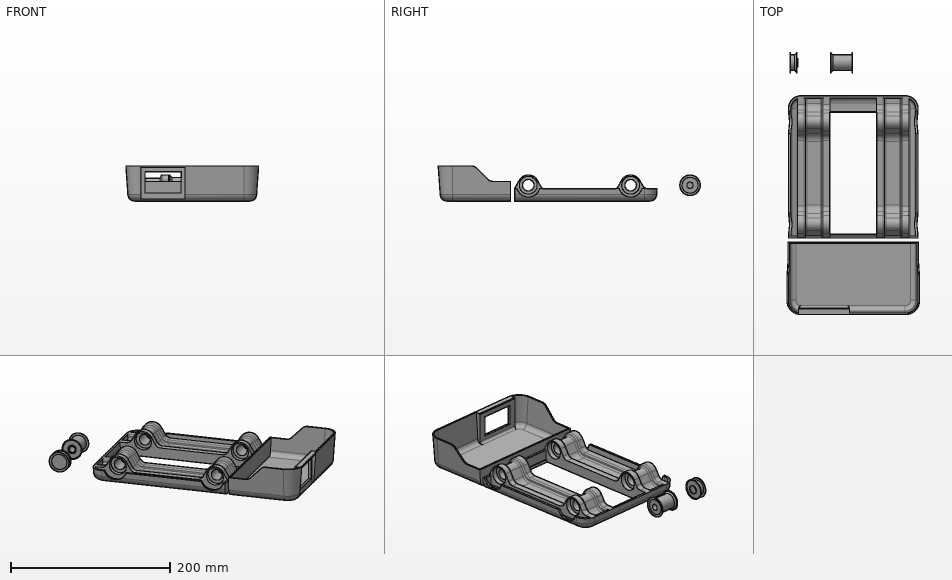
import cadquery as cq
import math

DRAFT = 4.0
BASE_WIDTH = 160.5
BASE_CORNER = 15.0
BOTTOM_FILLET = 9.0

FRAME_REAR = 109.3
FRAME_FRONT = -68.5
FRAME_HEIGHT = 15.8
FRAME_WALL = 3.0
OPENING_REAR = 89.2
OPENING_FRONT = -63.2
OPENING_SLOPE = 1.0

BEAM_INNER = 29.3
BEAM_OUTER = 69.8
FLANGE_WIDTH = 8.2
SPAN_DECK = 13.8
HUB_GROOVE_DEPTH = 4.0
DECK_GROOVE_DEPTH = 6.0
GROOVE_FILLET = 1.9
BEAM_OVERRUN = 16.5
AXIS_HEIGHT = 20.0
AXIS_POSITIONS = (77.0, -51.5)
HUB_DIAMETER = 26.0
HUB_SLOPE = 60.0
HUB_FOOT_FILLET = 8.0
BORE_DIAMETER = 14.0
BEARING_SEAT_DIAMETER = 22.5
BEARING_SEAT_DEPTH = 7.0
CLEARANCE_DIAMETER = 29.5

TRAY_FRONT = -164.5
TRAY_REAR = -73.5
TRAY_HEIGHT = 44.5
TRAY_REAR_HEIGHT = 25.0
TRAY_WALL = 2.0
RIM_STEP_MIDDLE = -109.3
RIM_STEP_FILLET = 10.0
RIM_STEP_ANGLE = 45.0

DISPLAY_CENTER = -36.5
SEAT_WIDTH = 55.3
SEAT_BOTTOM = 2.3
SEAT_TOP = 42.5
SEAT_DEPTH = 5.0
WINDOW_WIDTH = 45.5
WINDOW_BOTTOM = 10.5
WINDOW_TOP = 37.0
PAD_WIDTH = 64.0
PAD_DEPTH = 8.2
PAD_CHAMFER = 1.0
PAD_FOOT_FILLET = 3.3
PAD_FOOT_MITRE = 2.0

ROLLER_Y = 151.55
DISC_DIAMETER = 26.0
DISC_THICKNESS = 1.0
CORE_DIAMETER = 20.0
CONE_DIAMETER = 24.0
CONE_LENGTH = 2.0
SPOOL_LEFT = -28.5
SPOOL_LENGTH = 28.0
SPOOL_HOLE_DIAMETER = 8.0
SPIGOT_DIAMETER = 11.0
SPIGOT_LENGTH = 1.0
CAP_LEFT = -79.5
CAP_LENGTH = 9.2

LEAN = math.tan(math.radians(DRAFT))
TRAY_BASE_FRONT = TRAY_FRONT + TRAY_HEIGHT * LEAN
BEAM_REAR = FRAME_REAR - FRAME_WALL / 2
SLACK = 0.03
FAR = 329.0


def box(x0, x1, y0, y1, z0, z1):
    """Axis-aligned box given by its limits."""
    return cq.Workplane("XY").box(x1 - x0, y1 - y0, z1 - z0, centered=False).translate((x0, y0, z0))


def drafted_block(y_low, y_high, rounded_end, z0, z1, inset, fillet):
    """Block whose walls lean outwards, with rounded corners at one Y end and a filleted bottom.

    y_low and y_high are limits at the base plane; the square end is cut flat there.
    inset moves the leaning walls inwards, for the cavity.
    """
    growth = z0 * LEAN - inset
    width = BASE_WIDTH + 2 * growth
    spare = 2 * BASE_CORNER + 2 * BOTTOM_FILLET
    low = y_low - (growth if rounded_end == "low" else spare)
    high = y_high + (growth if rounded_end == "high" else spare)
    block = (
        cq.Workplane("XY", origin=(0, (low + high) / 2, z0))
        .sketch()
        .rect(width, high - low)
        .vertices()
        .fillet(BASE_CORNER + growth)
        .finalize()
        .extrude(z1 - z0, taper=-DRAFT)
        .faces("<Z")
        .edges()
        .fillet(fillet)
    )
    if rounded_end == "low":
        return block.intersect(box(-FAR, FAR, -FAR, y_high, -FAR, FAR))
    return block.intersect(box(-FAR, FAR, y_low, FAR, -FAR, FAR))


def x_cylinder(diameter, x0, x1, y, z):
    """Cylinder along X."""
    return cq.Workplane("YZ", origin=(x0, y, z)).circle(diameter / 2).extrude(x1 - x0)


def hub_points(axis_y, side, deck, hub_offset):
    """Points of one half of a hub outline, from the foot up to where the crown arc begins.

    The flank is straight and the foot is a concave arc that runs out on the deck.
    """
    slope = math.radians(HUB_SLOPE)
    crown = HUB_DIAMETER / 2 - hub_offset
    foot = HUB_FOOT_FILLET + hub_offset
    crown_half = crown * math.sin(slope)
    crown_z = AXIS_HEIGHT + crown * math.cos(slope)
    flank_z = deck + foot * (1 - math.cos(slope))
    flank_half = crown_half + (crown_z - flank_z) / math.tan(slope)
    foot_half = flank_half + foot * math.sin(slope)
    middle_half = foot_half - foot * math.sin(slope / 2)
    middle_z = deck + foot * (1 - math.cos(slope / 2))
    return (
        (axis_y + side * foot_half, deck),
        (axis_y + side * middle_half, middle_z),
        (axis_y + side * flank_half, flank_z),
        (axis_y + side * crown_half, crown_z),
    )


def beam_slab(x0, x1, hub_offset, deck_offset):
    """Slab with the outline of the beam and its hubs between two X planes.

    hub_offset and deck_offset lower the hubs and the deck from the flange outline.
    """
    y_front = FRAME_FRONT - BEAM_OVERRUN
    rear_deck = FRAME_HEIGHT - deck_offset
    span_deck = SPAN_DECK - deck_offset
    outline = cq.Workplane("YZ", origin=(x0, 0, 0)).moveTo(BEAM_REAR, 0).lineTo(BEAM_REAR, rear_deck)
    rear_side_deck = rear_deck
    for axis_y in AXIS_POSITIONS:
        top = (axis_y, AXIS_HEIGHT + HUB_DIAMETER / 2 - hub_offset)
        foot, middle, flank, crown = hub_points(axis_y, 1, rear_side_deck, hub_offset)
        outline = outline.lineTo(*foot).threePointArc(middle, flank).lineTo(*crown)
        foot, middle, flank, crown = hub_points(axis_y, -1, span_deck, hub_offset)
        outline = outline.threePointArc(top, crown).lineTo(*flank).threePointArc(middle, foot)
        rear_side_deck = span_deck
    return outline.lineTo(y_front, span_deck).lineTo(y_front, 0).close().extrude(x1 - x0)


def step_edges(x):
    """Selector of the upper and lower edges of the groove side in the plane at x."""
    low = (x - SLACK, FRAME_FRONT - BEAM_OVERRUN + SLACK, SLACK)
    high = (x + SLACK, BEAM_REAR - SLACK, FAR)
    return cq.selectors.BoxSelector(low, high)


def bearing_beam():
    """Beam on the +X side: two raised flanges, a groove between them, and a bored hub at each axis."""
    inner_step = BEAM_INNER + FLANGE_WIDTH + GROOVE_FILLET
    outer_step = BEAM_OUTER - FLANGE_WIDTH - GROOVE_FILLET
    beam = (
        beam_slab(inner_step, outer_step, HUB_GROOVE_DEPTH, DECK_GROOVE_DEPTH)
        .union(beam_slab(BEAM_INNER, inner_step, 0, 0))
        .union(beam_slab(outer_step, BEAM_OUTER, 0, 0))
    )
    for step in (inner_step, outer_step):
        beam = beam.edges(step_edges(step)).fillet(GROOVE_FILLET)
    for axis_y in AXIS_POSITIONS:
        beam = beam.cut(x_cylinder(BORE_DIAMETER, 0, FAR, axis_y, AXIS_HEIGHT))
        for x in (BEAM_INNER, BEAM_OUTER - BEARING_SEAT_DEPTH):
            beam = beam.cut(x_cylinder(BEARING_SEAT_DIAMETER, x, x + BEARING_SEAT_DEPTH, axis_y, AXIS_HEIGHT))
    envelope = drafted_block(FRAME_FRONT, FRAME_REAR, "high", 0, TRAY_HEIGHT, 0, BOTTOM_FILLET)
    return beam.intersect(envelope)


def frame_opening():
    """Cutter of the opening between the beams; its end faces slope through the floor."""
    return (
        cq.Workplane("YZ", origin=(-BEAM_INNER, 0, 0))
        .moveTo(OPENING_FRONT, 0)
        .lineTo(OPENING_FRONT - OPENING_SLOPE, FRAME_WALL)
        .lineTo(OPENING_REAR + OPENING_SLOPE, FRAME_WALL)
        .lineTo(OPENING_REAR, 0)
        .close()
        .extrude(2 * BEAM_INNER)
    )


def make_frame():
    """Shallow drafted shell with an opening, wall notches and two bearing beams."""
    outer = drafted_block(FRAME_FRONT, FRAME_REAR, "high", 0, FRAME_HEIGHT, 0, BOTTOM_FILLET)
    cavity = drafted_block(
        FRAME_FRONT + FRAME_WALL, FRAME_REAR, "high", FRAME_WALL, FRAME_HEIGHT, FRAME_WALL,
        BOTTOM_FILLET - FRAME_WALL,
    )
    frame = outer.cut(cavity).cut(frame_opening())
    for axis_y in AXIS_POSITIONS:
        frame = frame.cut(x_cylinder(CLEARANCE_DIAMETER, -FAR, FAR, axis_y, AXIS_HEIGHT))
    beam = bearing_beam()
    return frame.union(beam).union(beam.mirror("YZ"))


def rim_cutter():
    """Cutter that lowers the rear part of the rim, with a rounded 45 degree step."""
    half_angle = math.radians(RIM_STEP_ANGLE / 2)
    half_rise = (TRAY_HEIGHT - TRAY_REAR_HEIGHT) / 2
    y_low = RIM_STEP_MIDDLE + half_rise
    y_high = RIM_STEP_MIDDLE - half_rise
    setback = RIM_STEP_FILLET * math.tan(half_angle)
    diagonal = setback * math.sqrt(0.5)
    arc_rise = RIM_STEP_FILLET * (1 - math.cos(half_angle))
    arc_run = RIM_STEP_FILLET * math.sin(half_angle)
    return (
        cq.Workplane("YZ", origin=(-FAR / 2, 0, 0))
        .moveTo(0, TRAY_REAR_HEIGHT)
        .lineTo(y_low + setback, TRAY_REAR_HEIGHT)
        .threePointArc(
            (y_low + setback - arc_run, TRAY_REAR_HEIGHT + arc_rise),
            (y_low - diagonal, TRAY_REAR_HEIGHT + diagonal),
        )
        .lineTo(y_high + diagonal, TRAY_HEIGHT - diagonal)
        .threePointArc(
            (y_high - setback + arc_run, TRAY_HEIGHT - arc_rise),
            (y_high - setback, TRAY_HEIGHT),
        )
        .lineTo(0, TRAY_HEIGHT)
        .close()
        .extrude(FAR)
    )


def display_pad():
    """Thickening of the front wall behind the display seat, with a mitred concave foot."""
    x0 = DISPLAY_CENTER - PAD_WIDTH / 2
    x1 = DISPLAY_CENTER + PAD_WIDTH / 2
    face_y = TRAY_FRONT + PAD_DEPTH
    arc_rise = PAD_FOOT_FILLET * (1 - math.sqrt(0.5))
    toe_y = face_y + PAD_FOOT_FILLET
    profile = (
        cq.Workplane("YZ", origin=(x0, 0, 0))
        .moveTo(TRAY_FRONT, 0)
        .lineTo(TRAY_FRONT, TRAY_HEIGHT)
        .lineTo(face_y - PAD_CHAMFER, TRAY_HEIGHT)
        .lineTo(face_y, TRAY_HEIGHT - PAD_CHAMFER)
        .lineTo(face_y, TRAY_WALL + PAD_FOOT_FILLET)
        .threePointArc((face_y + arc_rise, TRAY_WALL + arc_rise), (toe_y, TRAY_WALL))
        .lineTo(toe_y, 0)
        .close()
        .extrude(PAD_WIDTH)
    )
    plan = (
        cq.Workplane("XY")
        .polyline([
            (x0, TRAY_FRONT),
            (x0, face_y),
            (x0 + PAD_FOOT_MITRE, toe_y),
            (x1 - PAD_FOOT_MITRE, toe_y),
            (x1, face_y),
            (x1, TRAY_FRONT),
        ])
        .close()
        .extrude(TRAY_HEIGHT)
    )
    return profile.intersect(plan)


def display_cutter():
    """Recess for the display with a window through the wall."""
    seat_half = SEAT_WIDTH / 2
    window_half = WINDOW_WIDTH / 2
    seat_y = TRAY_FRONT + SEAT_DEPTH
    seat = box(
        DISPLAY_CENTER - seat_half, DISPLAY_CENTER + seat_half, TRAY_FRONT, seat_y, SEAT_BOTTOM, SEAT_TOP
    )
    window = box(
        DISPLAY_CENTER - window_half, DISPLAY_CENTER + window_half,
        TRAY_FRONT, RIM_STEP_MIDDLE, WINDOW_BOTTOM, WINDOW_TOP,
    )
    return seat.union(window)


def make_tray():
    """Deep drafted shell with a stepped rim and a display seat in its front wall."""
    outer = drafted_block(TRAY_BASE_FRONT, TRAY_REAR, "low", 0, TRAY_HEIGHT, 0, BOTTOM_FILLET)
    cavity = drafted_block(
        TRAY_BASE_FRONT, TRAY_REAR - TRAY_WALL, "low", TRAY_WALL, TRAY_HEIGHT, TRAY_WALL,
        BOTTOM_FILLET - TRAY_WALL,
    )
    cavity = cavity.cut(display_pad())
    return outer.cut(cavity).cut(rim_cutter()).cut(display_cutter())


def roller(left, points):
    """Body of revolution about the roller axis; points are (distance from the left face, radius)."""
    return (
        cq.Workplane("XY", origin=(left, ROLLER_Y, AXIS_HEIGHT))
        .polyline(points)
        .close()
        .revolve(360, (0, 0, 0), (1, 0, 0))
    )


def make_spool():
    """Long flanged spool with a through hole and a socket in its left face."""
    disc = DISC_DIAMETER / 2
    core = CORE_DIAMETER / 2
    spool = roller(SPOOL_LEFT, [
        (0, 0),
        (0, disc),
        (DISC_THICKNESS, disc),
        (DISC_THICKNESS, CONE_DIAMETER / 2),
        (DISC_THICKNESS + CONE_LENGTH, core),
        (SPOOL_LENGTH - DISC_THICKNESS, core),
        (SPOOL_LENGTH - DISC_THICKNESS, disc),
        (SPOOL_LENGTH, disc),
        (SPOOL_LENGTH, 0),
    ])
    hole = x_cylinder(SPOOL_HOLE_DIAMETER, SPOOL_LEFT, SPOOL_LEFT + SPOOL_LENGTH, ROLLER_Y, AXIS_HEIGHT)
    socket = x_cylinder(SPIGOT_DIAMETER, SPOOL_LEFT, SPOOL_LEFT + SPIGOT_LENGTH, ROLLER_Y, AXIS_HEIGHT)
    return spool.cut(hole).cut(socket)


def make_cap():
    """Short flanged cap with a spigot on its right face."""
    disc = DISC_DIAMETER / 2
    core = CORE_DIAMETER / 2
    spigot = SPIGOT_DIAMETER / 2
    return roller(CAP_LEFT, [
        (0, 0),
        (0, disc),
        (DISC_THICKNESS, disc),
        (DISC_THICKNESS, core),
        (CAP_LENGTH - DISC_THICKNESS - CONE_LENGTH, core),
        (CAP_LENGTH - DISC_THICKNESS, CONE_DIAMETER / 2),
        (CAP_LENGTH - DISC_THICKNESS, disc),
        (CAP_LENGTH, disc),
        (CAP_LENGTH, spigot),
        (CAP_LENGTH + SPIGOT_LENGTH, spigot),
        (CAP_LENGTH + SPIGOT_LENGTH, 0),
    ])


frame = make_frame()
tray = make_tray()
spool = make_spool()
cap = make_cap()
result = cq.Compound.makeCompound([frame.val(), tray.val(), spool.val(), cap.val()])